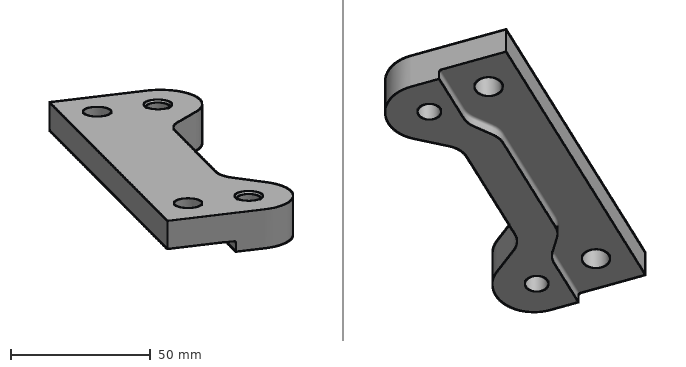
import cadquery as cq
import math

length = 130.0
depth = 52.0
thickness = 15.0
half_length = length / 2

lobe_radius = 15.0
lobe_x = half_length - lobe_radius
lobe_y = depth - lobe_radius
waist_y = 33.0
waist_radius = 10.0
flank_angle = math.radians(50)

hole_x = lobe_x
clearance_diameter = 10.1
clearance_y = 13.0
rear_hole_diameter = 8.5
rear_hole_y = 36.0
countersink_diameter = 10.1
countersink_angle = 90

step_height = 4.2
step_end_y = 26.0
step_middle_y = 18.1
step_bend_radius = 10.0
step_ramp_angle = math.radians(34)
step_ramp_middle_x = 33.3
step_floor_fillet = 1.0

selection_margin = 1.3


def make_plate():
    """Plate whose rear edge drops from two round lobes to a straight waist."""
    tangent_x = lobe_x - lobe_radius * math.sin(flank_angle)
    tangent_y = lobe_y + lobe_radius * math.cos(flank_angle)
    corner_x = tangent_x - (tangent_y - waist_y) / math.tan(flank_angle)
    arc_mid_angle = (math.pi / 2 - flank_angle) / 2
    arc_mid_x = lobe_x + lobe_radius * math.sin(arc_mid_angle)
    arc_mid_y = lobe_y + lobe_radius * math.cos(arc_mid_angle)
    plate = (
        cq.Workplane("XY")
        .moveTo(-half_length, 0)
        .lineTo(half_length, 0)
        .lineTo(half_length, lobe_y)
        .threePointArc((arc_mid_x, arc_mid_y), (tangent_x, tangent_y))
        .lineTo(corner_x, waist_y)
        .lineTo(-corner_x, waist_y)
        .lineTo(-tangent_x, tangent_y)
        .threePointArc((-arc_mid_x, arc_mid_y), (-half_length, lobe_y))
        .close()
        .extrude(thickness)
    )
    waist_corners = cq.selectors.BoxSelector(
        (-corner_x - selection_margin, waist_y - selection_margin, 0),
        (corner_x + selection_margin, waist_y + selection_margin, thickness),
    )
    return plate.edges("|Z").edges(waist_corners).fillet(waist_radius)


def make_step_cutter():
    """Volume removed under the step, with S-shaped ramps and a rounded inner edge."""
    overhang = 6.5
    outer_x = half_length + overhang
    half_ramp = (step_end_y - step_middle_y) / 2 / math.tan(step_ramp_angle)
    ramp_outer_x = step_ramp_middle_x + half_ramp
    ramp_inner_x = step_ramp_middle_x - half_ramp
    cutter = (
        cq.Workplane("XY")
        .workplane(offset=-overhang)
        .polyline([
            (-outer_x, -overhang),
            (outer_x, -overhang),
            (outer_x, step_end_y),
            (ramp_outer_x, step_end_y),
            (ramp_inner_x, step_middle_y),
            (-ramp_inner_x, step_middle_y),
            (-ramp_outer_x, step_end_y),
            (-outer_x, step_end_y),
        ])
        .close()
        .extrude(overhang + step_height)
    )
    ramp_corners = cq.selectors.BoxSelector(
        (-half_length, 0, -overhang), (half_length, depth, step_height)
    )
    cutter = cutter.edges("|Z").edges(ramp_corners).fillet(step_bend_radius)
    rear_floor_edges = cq.selectors.BoxSelector(
        (-outer_x, step_middle_y - selection_margin, step_height - selection_margin),
        (outer_x, step_end_y + selection_margin, step_height + selection_margin),
    )
    return cutter.faces(">Z").edges(rear_floor_edges).fillet(step_floor_fillet)


def cut_holes(plate):
    """Pairs of plain clearance holes and countersunk holes through the plate."""
    clearance_points = [(-hole_x, clearance_y), (hole_x, clearance_y)]
    rear_hole_points = [(-hole_x, rear_hole_y), (hole_x, rear_hole_y)]
    drilled = (
        plate.faces(">Z").workplane(origin=(0, 0, thickness))
        .pushPoints(clearance_points)
        .hole(clearance_diameter)
    )
    return (
        drilled.faces(">Z").workplane(origin=(0, 0, thickness))
        .pushPoints(rear_hole_points)
        .cskHole(rear_hole_diameter, countersink_diameter, countersink_angle)
    )


result = cut_holes(make_plate().cut(make_step_cutter()))